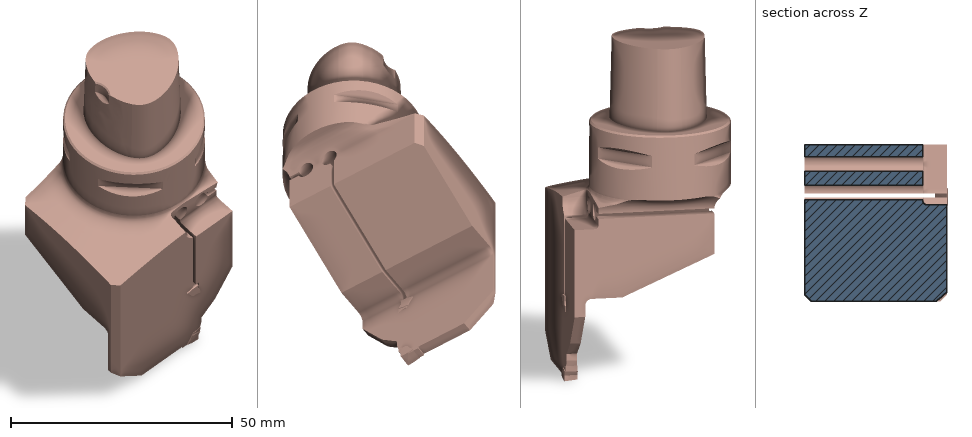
import cadquery as cq
import math


OVERALL_WIDTH = 38.0
OVERALL_DEPTH = 41.0
OVERALL_HEIGHT = 79.0

SHANK_LENGTH = 18.95
SHANK_BASE_RADIUS = 11.0
SHANK_TOP_RADIUS = 10.5
LOBE_HEIGHT = 0.7
LOBE_HALF_ANGLE = 25.0
POINTS_PER_STRETCH = 9

KEYWAY_RADIUS = 4.0
KEYWAY_WALL_Y = -8.9
KEYWAY_DEPTH = 3.4
KEYWAY_CHAMFER = 0.3

FLANGE_RADIUS = 32.0 / 2
FLANGE_THICKNESS = 15.0
FLANGE_CHAMFER = 0.4
GRIP_SLOT_Z = -6.0
GRIP_SLOT_FLAT_HEIGHT = 2.6
GRIP_SLOT_FLOOR_DISTANCE = 14.2
GRIP_SLOT_FLANK_ANGLE = 30.0

CONE_START_Z = -16.35
CONE_SLOPE = math.radians(15.0)
CONE_OUTER_RADIUS = 39.5
SHOULDER_FILLET = 1.3

INSERT_SIDE_STEP = 0.28
HEAD_RIGHT = OVERALL_WIDTH - FLANGE_RADIUS - INSERT_SIDE_STEP
HEAD_LEFT = -10.4
HEAD_BACK = 10.4
HEAD_FRONT = FLANGE_RADIUS - OVERALL_DEPTH
NECK_FILLET = 4.0
NECK_ARC_OFFSET = NECK_FILLET * (1 - math.sqrt(0.5))
HEAD_CORNER_CHAMFER = 1.5
LEFT_WALL_BOTTOM_Z = -29.4
BLOCK_BOTTOM_Z = -38.5
SLOPE_END_X = 10.75
BLADE_THICKNESS = 2.45
BLADE_LEFT = HEAD_RIGHT - BLADE_THICKNESS
BLADE_FILLET = 1.5
BLADE_BOTTOM_Z = -59.2
BLADE_FRONT_CUT = (-17.15, -52.85)
BLADE_BACK_CUT = [(HEAD_BACK, -42.6), (5.1, -50.0), (1.0, -53.4)]

HINGE_HOLE_RADIUS = 2.0
HINGE_Z = -19.35
BACK_HOLE_Y = 6.0
FRONT_HOLE_Y = -0.4
BACK_SLIT_HEIGHT = 1.2
CLAMP_SLIT_WIDTH = 0.95
CLAMP_SLIT_Y = -1.1
RELIEF_LEFT = 16.3
RELIEF_FRONT = -3.8
RELIEF_FLOOR_Z = -22.3
RELIEF_SIDE_FILLET = 0.8
RELIEF_FRONT_FILLET = 4.0

INSERT_TIP_Z = SHANK_LENGTH - OVERALL_HEIGHT
INSERT_BOTTOM_Z = -59.65
INSERT_MIDDLE_Z = -50.0
INSERT_BACK_Y = 1.0
INSERT_FRONT_Y = -4.7
INSERT_TIP_Y = -0.15
CUTTING_EDGE_ANGLE = 5.0
TIP_CLEARANCE_Y = 0.3
TIP_CLEARANCE_TOP_Z = -39.9
TIP_CLEARANCE_BOTTOM_Z = -42.1

INSERT_MIDDLE_X = (BLADE_LEFT + HEAD_RIGHT) / 2
CUTTING_WIDTH = BLADE_THICKNESS + 2 * INSERT_SIDE_STEP

INSERT_LOWER_HALF = [
    (INSERT_BACK_Y, -55.0),
    (0.6, -56.3),
    (0.5, -57.7),
    (INSERT_TIP_Y, -58.7),
    (INSERT_TIP_Y, INSERT_TIP_Z),
    (-2.0, -59.8),
    (-3.4, INSERT_BOTTOM_Z),
    (INSERT_FRONT_Y, INSERT_BOTTOM_Z),
]
CUTTING_HEAD = [
    (0.5, -57.7),
    (-0.8, -57.35),
    (-2.0, -57.3),
    (-2.5, -58.2),
    (-3.4, -59.4),
    (-2.0, -59.8),
    (INSERT_TIP_Y, INSERT_TIP_Z),
    (INSERT_TIP_Y, -58.7),
]
CHIP_RIDGE = [(0.6, -56.3), (-0.55, -56.7), (-1.5, -56.8), (-2.0, -57.3), (-0.8, -57.35), (0.5, -57.7)]


def box(x_range, y_range, z_range):
    """A box between the given limits."""
    size = [high - low for low, high in (x_range, y_range, z_range)]
    return cq.Workplane("XY").box(*size, centered=False).translate((x_range[0], y_range[0], z_range[0]))


def plate(points, middle_x, thickness):
    """A plate with a (Y, Z) outline, centred on middle_x."""
    outline = cq.Workplane("YZ", origin=(middle_x, 0, 0)).polyline(points).close()
    return outline.extrude(thickness / 2, both=True)


def lobed_wire(mean_radius, z):
    """A rounded-triangle outline of constant width, with one lobe toward +Y."""
    def point(degrees):
        turn = math.radians(degrees)
        support = mean_radius + LOBE_HEIGHT * math.cos(3 * turn)
        slope = -3 * LOBE_HEIGHT * math.sin(3 * turn)
        toward_lobe = support * math.cos(turn) - slope * math.sin(turn)
        sideways = support * math.sin(turn) + slope * math.cos(turn)
        return cq.Vector(-sideways, toward_lobe, z)

    stretches = []
    for lobe in (0, 120, 240):
        lobe_start = lobe - LOBE_HALF_ANGLE
        lobe_end = lobe + LOBE_HALF_ANGLE
        for start, end in ((lobe_start, lobe_end), (lobe_end, lobe_start + 120)):
            step = (end - start) / (POINTS_PER_STRETCH - 1)
            points = [point(start + i * step) for i in range(POINTS_PER_STRETCH)]
            stretches.append(cq.Edge.makeSpline(points))
    return cq.Wire.assembleEdges(stretches)


def make_shank():
    base = lobed_wire(SHANK_BASE_RADIUS, 0)
    top = lobed_wire(SHANK_TOP_RADIUS, SHANK_LENGTH)
    shank = cq.Workplane(obj=cq.Solid.makeLoft([base, top], True))
    return shank.cut(make_keyway())


def make_keyway():
    """The drill shape of the keyway: a 45 degree point, and a chamfer at the mouth."""
    wall_end_z = SHANK_LENGTH - KEYWAY_DEPTH
    mouth_radius = KEYWAY_RADIUS + KEYWAY_CHAMFER
    profile = [
        (0, wall_end_z - KEYWAY_RADIUS),
        (KEYWAY_RADIUS, wall_end_z),
        (KEYWAY_RADIUS, SHANK_LENGTH - KEYWAY_CHAMFER),
        (mouth_radius, SHANK_LENGTH),
        (0, SHANK_LENGTH),
    ]
    drill = cq.Workplane("XZ").polyline(profile).close().revolve(360, (0, 0, 0), (0, 1, 0))
    return drill.translate((0, KEYWAY_WALL_Y - KEYWAY_RADIUS, 0))


def make_grip_slots():
    """Four slots with sloping flanks, on the diagonals of the flange."""
    depth = FLANGE_RADIUS - GRIP_SLOT_FLOOR_DISTANCE
    floor_half = GRIP_SLOT_FLAT_HEIGHT / 2
    mouth_half = floor_half + depth * math.tan(math.radians(GRIP_SLOT_FLANK_ANGLE))
    section = [
        (GRIP_SLOT_FLOOR_DISTANCE, GRIP_SLOT_Z - floor_half),
        (FLANGE_RADIUS, GRIP_SLOT_Z - mouth_half),
        (FLANGE_RADIUS, GRIP_SLOT_Z + mouth_half),
        (GRIP_SLOT_FLOOR_DISTANCE, GRIP_SLOT_Z + floor_half),
    ]
    slot = cq.Workplane("XZ").polyline(section).close().extrude(FLANGE_RADIUS, both=True)
    return [slot.rotate((0, 0, 0), (0, 0, 1), angle) for angle in (45, 135, 225, 315)]


def make_flange():
    flange = cq.Workplane("XY").circle(FLANGE_RADIUS).extrude(-FLANGE_THICKNESS)
    flange = flange.faces(">Z").chamfer(FLANGE_CHAMFER)
    for slot in make_grip_slots():
        flange = flange.cut(slot)
    return flange


def make_shoulder_envelope():
    """The turned shape that bounds the head: the flange cylinder, a fillet and a shallow cone."""
    tangent_length = SHOULDER_FILLET * math.tan((math.pi / 2 - CONE_SLOPE) / 2)
    cone_drop = (CONE_OUTER_RADIUS - FLANGE_RADIUS) * math.tan(CONE_SLOPE)
    fillet_start_z = CONE_START_Z + tangent_length
    fillet_end = (
        FLANGE_RADIUS + tangent_length * math.cos(CONE_SLOPE),
        CONE_START_Z - tangent_length * math.sin(CONE_SLOPE),
    )
    return (
        cq.Workplane("XZ")
        .moveTo(0, -FLANGE_THICKNESS)
        .lineTo(FLANGE_RADIUS, -FLANGE_THICKNESS)
        .lineTo(FLANGE_RADIUS, fillet_start_z)
        .tangentArcPoint(fillet_end, relative=False)
        .lineTo(CONE_OUTER_RADIUS, CONE_START_Z - cone_drop)
        .lineTo(CONE_OUTER_RADIUS, BLADE_BOTTOM_Z)
        .lineTo(0, BLADE_BOTTOM_Z)
        .close()
        .revolve(360, (0, 0, 0), (0, 1, 0))
    )


def make_front_prism():
    """The head outline in X and Z: block, sloping underside and thin blade."""
    return (
        cq.Workplane("XZ", origin=(0, HEAD_FRONT, 0))
        .moveTo(HEAD_RIGHT, -FLANGE_THICKNESS)
        .lineTo(HEAD_LEFT - NECK_FILLET, -FLANGE_THICKNESS)
        .threePointArc(
            (HEAD_LEFT - NECK_ARC_OFFSET, -FLANGE_THICKNESS - NECK_ARC_OFFSET),
            (HEAD_LEFT, -FLANGE_THICKNESS - NECK_FILLET),
        )
        .lineTo(HEAD_LEFT, LEFT_WALL_BOTTOM_Z)
        .lineTo(SLOPE_END_X, BLOCK_BOTTOM_Z)
        .lineTo(BLADE_LEFT - BLADE_FILLET, BLOCK_BOTTOM_Z)
        .tangentArcPoint((BLADE_LEFT, BLOCK_BOTTOM_Z - BLADE_FILLET), relative=False)
        .lineTo(BLADE_LEFT, BLADE_BOTTOM_Z)
        .lineTo(HEAD_RIGHT, BLADE_BOTTOM_Z)
        .close()
        .extrude(-OVERALL_DEPTH)
    )


def make_side_prism():
    """The head outline in Y and Z, with the sloping lower corners of the blade."""
    front_cut_y, front_cut_z = BLADE_FRONT_CUT
    outline = (
        cq.Workplane("YZ", origin=(-FLANGE_RADIUS, 0, 0))
        .moveTo(HEAD_FRONT, -FLANGE_THICKNESS)
        .lineTo(HEAD_BACK + NECK_FILLET, -FLANGE_THICKNESS)
        .threePointArc(
            (HEAD_BACK + NECK_ARC_OFFSET, -FLANGE_THICKNESS - NECK_ARC_OFFSET),
            (HEAD_BACK, -FLANGE_THICKNESS - NECK_FILLET),
        )
    )
    for y, z in BLADE_BACK_CUT:
        outline = outline.lineTo(y, z)
    return (
        outline.lineTo(INSERT_FRONT_Y, BLADE_BACK_CUT[-1][1])
        .lineTo(INSERT_FRONT_Y, BLADE_BOTTOM_Z)
        .lineTo(front_cut_y, BLADE_BOTTOM_Z)
        .lineTo(HEAD_FRONT, front_cut_z)
        .close()
        .extrude(OVERALL_WIDTH)
    )


def make_head():
    head = make_front_prism().intersect(make_side_prism()).intersect(make_shoulder_envelope())
    for x, toward_middle in ((HEAD_LEFT, 1), (HEAD_RIGHT, -1)):
        triangle = [
            (x, HEAD_FRONT),
            (x + toward_middle * HEAD_CORNER_CHAMFER, HEAD_FRONT),
            (x, HEAD_FRONT + HEAD_CORNER_CHAMFER),
        ]
        head = head.cut(cq.Workplane("XY").polyline(triangle).close().extrude(BLADE_BOTTOM_Z))
    return head


def make_hinge_cuts():
    """Both hinge holes, the slit to the back wall and the slit down to the insert."""
    x_range = (-FLANGE_RADIUS, HEAD_RIGHT)
    holes = (
        cq.Workplane("YZ", origin=(-FLANGE_RADIUS, 0, 0))
        .pushPoints([(BACK_HOLE_Y, HINGE_Z), (FRONT_HOLE_Y, HINGE_Z)])
        .circle(HINGE_HOLE_RADIUS)
        .extrude(OVERALL_WIDTH)
    )
    half_height = BACK_SLIT_HEIGHT / 2
    back_slit = box(x_range, (BACK_HOLE_Y, FLANGE_RADIUS), (HINGE_Z - half_height, HINGE_Z + half_height))
    half_width = CLAMP_SLIT_WIDTH / 2
    slit_y = (CLAMP_SLIT_Y - half_width, CLAMP_SLIT_Y + half_width)
    clamp_slit = box(x_range, slit_y, (TIP_CLEARANCE_BOTTOM_Z, HINGE_Z))
    tip_clearance = box(
        x_range, (slit_y[0], TIP_CLEARANCE_Y), (TIP_CLEARANCE_BOTTOM_Z, TIP_CLEARANCE_TOP_Z)
    )
    return [holes, back_slit, clamp_slit, tip_clearance]


def make_arm_relief():
    """The pocket above the clamp arm, rounded where its floor meets the walls."""
    relief = box(
        (RELIEF_LEFT, HEAD_RIGHT + RELIEF_SIDE_FILLET),
        (RELIEF_FRONT, FLANGE_RADIUS),
        (RELIEF_FLOOR_Z, -FLANGE_THICKNESS),
    )
    relief = relief.faces("<Y").edges("<Z").fillet(RELIEF_FRONT_FILLET)
    return relief.faces("<X").edges("<Z").fillet(RELIEF_SIDE_FILLET)


def insert_outline():
    """The whole (Y, Z) insert outline: the lower half and its mirror image."""
    upper_half = [(y, 2 * INSERT_MIDDLE_Z - z) for y, z in reversed(INSERT_LOWER_HALF)]
    return INSERT_LOWER_HALF + upper_half


def make_holder():
    holder = make_flange().union(make_shank()).union(make_head())
    for cutter in make_hinge_cuts():
        holder = holder.cut(cutter)
    holder = holder.cut(make_arm_relief())
    return holder.cut(plate(insert_outline(), INSERT_MIDDLE_X, CUTTING_WIDTH))


def make_cutting_edge_wedge():
    """The wedge below the lower tip that sets the cutting edge at a slant across X."""
    left = INSERT_MIDDLE_X - CUTTING_WIDTH / 2
    right = INSERT_MIDDLE_X + CUTTING_WIDTH / 2
    rise = CUTTING_WIDTH * math.tan(math.radians(CUTTING_EDGE_ANGLE))
    corners = [(left, INSERT_TIP_Z), (right, INSERT_TIP_Z), (left, INSERT_TIP_Z + rise)]
    wedge = cq.Workplane("XZ", origin=(0, INSERT_BACK_Y, 0)).polyline(corners).close()
    return wedge.extrude(INSERT_BACK_Y - INSERT_FRONT_Y)


def make_insert():
    """The insert; its two ends are the same after half a turn about Y."""
    insert = plate(insert_outline(), INSERT_MIDDLE_X, BLADE_THICKNESS)
    pivot = (INSERT_MIDDLE_X, 0, INSERT_MIDDLE_Z)
    pivot_axis_end = (INSERT_MIDDLE_X, 1, INSERT_MIDDLE_Z)
    head = plate(CUTTING_HEAD, INSERT_MIDDLE_X, CUTTING_WIDTH)
    ridge = plate(CHIP_RIDGE, INSERT_MIDDLE_X, BLADE_THICKNESS + INSERT_SIDE_STEP)
    wedge = make_cutting_edge_wedge()
    for angle in (0, 180):
        for feature in (head, ridge):
            insert = insert.union(feature.rotate(pivot, pivot_axis_end, angle))
        insert = insert.cut(wedge.rotate(pivot, pivot_axis_end, angle))
    return insert


holder = make_holder()
insert = make_insert()

result = cq.Compound.makeCompound([holder.solids().val(), insert.solids().val()])